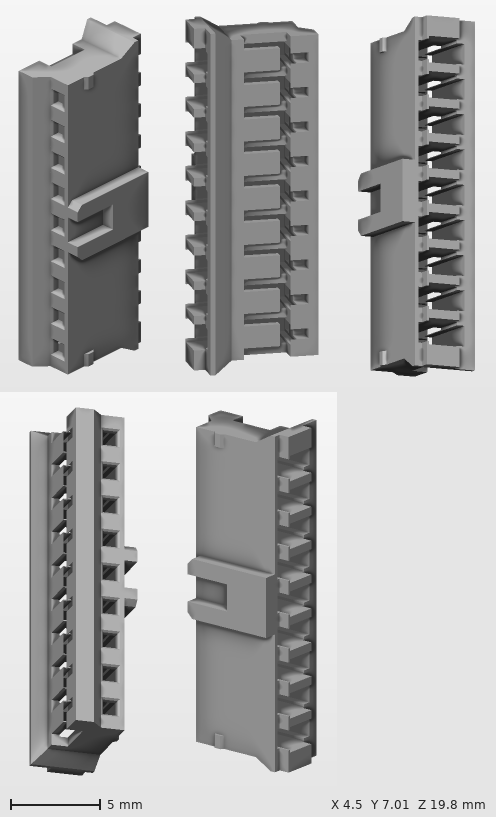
import cadquery as cq


position_count = 9
pitch = 2.0
positions = [(i - (position_count - 1) / 2) * pitch for i in range(position_count)]

height = 19.8
flare = 0.61
body_height = height - 2 * flare
body_left = flare
body_right = 3.72
front = 0.75
back = 6.38
nose_right = 1.68
nose_chamfer_width = 0.67

flare_start = 5.0
lip_thickness = 0.3
lip_start = back - lip_thickness

finger_thickness = 0.48
finger_width = 1.27
finger_tip = 2.22
finger_root = 4.3
slot_front = 1.62
slot_right = 1.56
finger_right = body_left + finger_thickness
skin = 0.01

cavity_width = 1.17
cavity_front = 1.25
cavity_right = 3.48
rail_width = 1.5
rail_right = 3.17
mouth_size = 1.09
bore_size = 0.87
funnel_depth = (mouth_size - bore_size) / 2
bore_center = 2.93
notch_width = 0.6
notch_front = 0.57

tab_left = 1.25
tab_right = 3.29
tab_depth = 0.63
tab_back = back + tab_depth

lug_right = 4.5
lug_height = 3.55
lug_chamfer = 0.34
lug_gap = 1.6
lug_web_front = 3.56
bump_front = 2.04
bump_back = 2.8
bump_depth = 0.18
bump_height = 0.8


def centered_box(x0, x1, y0, y1, size_z, z=0.0):
    """Box between two X and two Y limits, centred on height z."""
    block = cq.Workplane("XY").box(x1 - x0, y1 - y0, size_z, centered=(False, False, True))
    return block.translate((x0, y0, z))


def make_body():
    """Plain housing with the full-height finger slot; the nose corner is chamfered."""
    profile = [
        (body_left, 0),
        (nose_right, 0),
        (nose_right + nose_chamfer_width, front),
        (body_right, front),
        (body_right, back),
        (body_left, back),
        (body_left, finger_root),
        (slot_right, finger_root),
        (slot_right, slot_front),
        (body_left, slot_front),
    ]
    return cq.Workplane("XY").polyline(profile).close().extrude(body_height / 2, both=True)


def make_flange():
    """Flange that flares toward -X and both Z ends, ending in a straight lip."""
    side = [(0, back), (0, lip_start), (flare, flare_start), (body_right, flare_start), (body_right, back)]
    end = [
        (back, height / 2),
        (lip_start, height / 2),
        (flare_start, body_height / 2),
        (flare_start, -body_height / 2),
        (lip_start, -height / 2),
        (back, -height / 2),
    ]
    side_prism = cq.Workplane("XY").polyline(side).close().extrude(height / 2, both=True)
    end_prism = cq.Workplane("YZ").polyline(end).close().extrude(body_right)
    return side_prism.intersect(end_prism)


def make_lug():
    """Keying lug: two prongs in front of a solid web, with chamfered front corners."""
    half = lug_height / 2
    side = [
        (front, half - lug_chamfer),
        (front + lug_chamfer, half),
        (back, half),
        (back, -half),
        (front + lug_chamfer, -half),
        (front, lug_chamfer - half),
    ]
    side_plane = cq.Workplane("YZ").workplane(offset=body_right)
    lug = side_plane.polyline(side).close().extrude(lug_right - body_right)
    return lug.cut(centered_box(body_right, lug_right, front, lug_web_front, lug_gap))


def make_bumps():
    """Small trapezoidal bumps on the right side, flush with the body ends."""
    profile = [
        (body_right, bump_front),
        (body_right + bump_depth, bump_front + bump_depth),
        (body_right + bump_depth, bump_back - bump_depth),
        (body_right, bump_back),
    ]
    top_bump = (
        cq.Workplane("XY")
        .workplane(offset=body_height / 2 - bump_height)
        .polyline(profile)
        .close()
        .extrude(bump_height)
    )
    return top_bump.union(top_bump.mirror("XY"))


def make_rail_channel(z):
    """Wide channel behind a finger; it runs out through the back tabs."""
    return centered_box(finger_right, rail_right, slot_front, tab_back, rail_width, z)


def make_finger(z):
    """Flexible finger, rooted at the back end of the slot."""
    return centered_box(body_left, finger_right, finger_tip, finger_root, finger_width, z)


def make_cavity(z):
    """Contact cavity that leaves a thin outer skin, with front bore, funnel mouth and nose notch."""
    main = centered_box(body_left + skin, cavity_right, cavity_front, tab_back, cavity_width, z)
    bore_left = bore_center - bore_size / 2
    bore = centered_box(bore_left, bore_left + bore_size, front, cavity_front, bore_size, z)
    funnel = (
        cq.Workplane("XZ", origin=(bore_center, front, z))
        .rect(mouth_size, mouth_size)
        .workplane(offset=-funnel_depth)
        .rect(bore_size, bore_size)
        .loft()
    )
    notch = centered_box(body_left, slot_right, notch_front, slot_front, notch_width, z)
    return main.union(bore).union(funnel).union(notch)


result = make_body().union(make_flange())
result = result.union(centered_box(tab_left, tab_right, back, tab_back, height))
for position in positions:
    result = result.cut(make_rail_channel(position))
    result = result.union(make_finger(position))
    result = result.cut(make_cavity(position))
result = result.union(make_lug()).union(make_bumps())